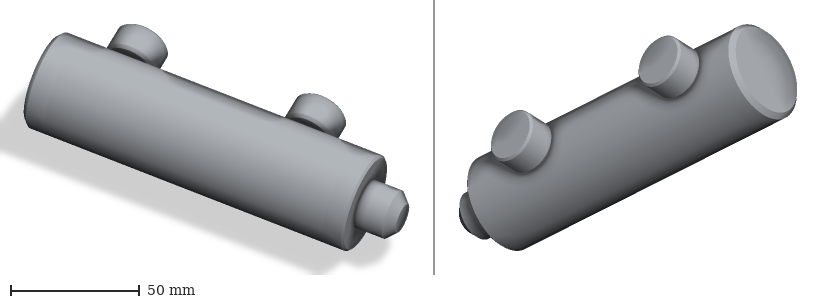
import cadquery as cq

overall_length = 155
outer_radius = 20.0
end_cap_length = 10.0
end_cap_chamfer = 2.0
tube_end_x = 130.0
seal_thickness = 0.5
gland_end_x = 139.0
gland_chamfer = 1.0

rod_radius = 10.0
rod_tip_chamfer = 4.0

port_radius = 11.0
port_height = 13.0
port_outer_chamfer = 1.0
port_inner_chamfer_height = 1.4
port_inner_chamfer_width = 1.0
port_centres_x = (27.0, 104.0)

tube_length = tube_end_x - end_cap_length
gland_start_x = tube_end_x + seal_thickness
gland_length = gland_end_x - gland_start_x
rod_length = overall_length - tube_end_x


def cylinder_along_x(start_x, length, radius):
    return cq.Workplane("YZ").workplane(offset=start_x).circle(radius).extrude(length)


def make_end_cap():
    blank = cylinder_along_x(0, end_cap_length, outer_radius)
    return blank.faces("<X").chamfer(end_cap_chamfer)


def make_tube():
    return cylinder_along_x(end_cap_length, tube_length, outer_radius)


def make_seal_ring():
    disc = cylinder_along_x(tube_end_x, seal_thickness, outer_radius)
    return disc.cut(cylinder_along_x(tube_end_x, seal_thickness, rod_radius))


def make_gland():
    blank = cylinder_along_x(gland_start_x, gland_length, outer_radius)
    chamfered = blank.faces(">X").chamfer(gland_chamfer)
    return chamfered.cut(cylinder_along_x(gland_start_x, gland_length, rod_radius))


def make_rod():
    blank = cylinder_along_x(tube_end_x, rod_length, rod_radius)
    return blank.faces(">X").chamfer(rod_tip_chamfer)


def make_port(centre_x):
    inner_y = outer_radius
    outer_y = inner_y + port_height
    profile = (
        cq.Workplane("XY")
        .moveTo(0, inner_y)
        .lineTo(port_radius - port_inner_chamfer_width, inner_y)
        .lineTo(port_radius, inner_y + port_inner_chamfer_height)
        .lineTo(port_radius, outer_y - port_outer_chamfer)
        .lineTo(port_radius - port_outer_chamfer, outer_y)
        .lineTo(0, outer_y)
        .close()
    )
    port = profile.revolve(360, (0, 0, 0), (0, 1, 0))
    return port.translate((centre_x, 0, 0))


end_cap = make_end_cap()
tube = make_tube()
seal_ring = make_seal_ring()
gland = make_gland()
rod = make_rod()
ports = [make_port(centre_x) for centre_x in port_centres_x]

result = cq.Compound.makeCompound([
    end_cap.val(),
    tube.val(),
    seal_ring.val(),
    gland.val(),
    rod.val(),
    *[port.val() for port in ports],
])